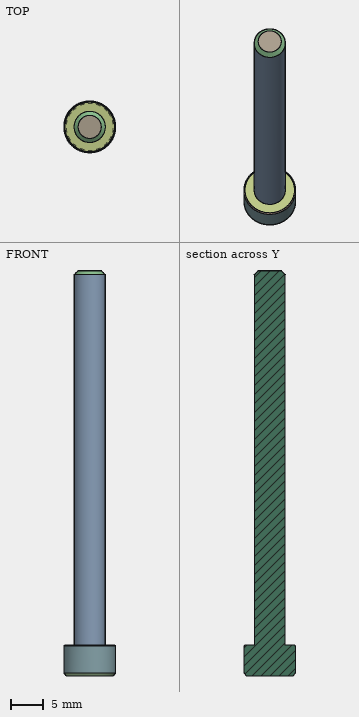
import cadquery as cq

total_length = 62.0
head_diameter = 7.95
head_height = 4.8
shaft_diameter = 4.8

tip_chamfer = 0.6
head_shoulder_chamfer = 0.2
head_base_chamfer_height = 0.5
head_base_chamfer_width = 0.4


def make_head():
    """Cylindrical head standing on Z = 0, with both rims bevelled."""
    head = cq.Workplane("XY").circle(head_diameter / 2).extrude(head_height)
    head = head.faces(">Z").chamfer(head_shoulder_chamfer)

    radius = head_diameter / 2
    bevel = (
        cq.Workplane("XZ")
        .moveTo(radius - head_base_chamfer_width, 0)
        .lineTo(radius, 0)
        .lineTo(radius, head_base_chamfer_height)
        .close()
        .revolve(360, (0, 0, 0), (0, 1, 0))
    )
    return head.cut(bevel)


def make_shaft():
    """Plain shaft rising from the head to a chamfered tip."""
    shaft = (
        cq.Workplane("XY")
        .workplane(offset=head_height)
        .circle(shaft_diameter / 2)
        .extrude(total_length - head_height)
    )
    return shaft.faces(">Z").chamfer(tip_chamfer)


result = make_head().union(make_shaft())